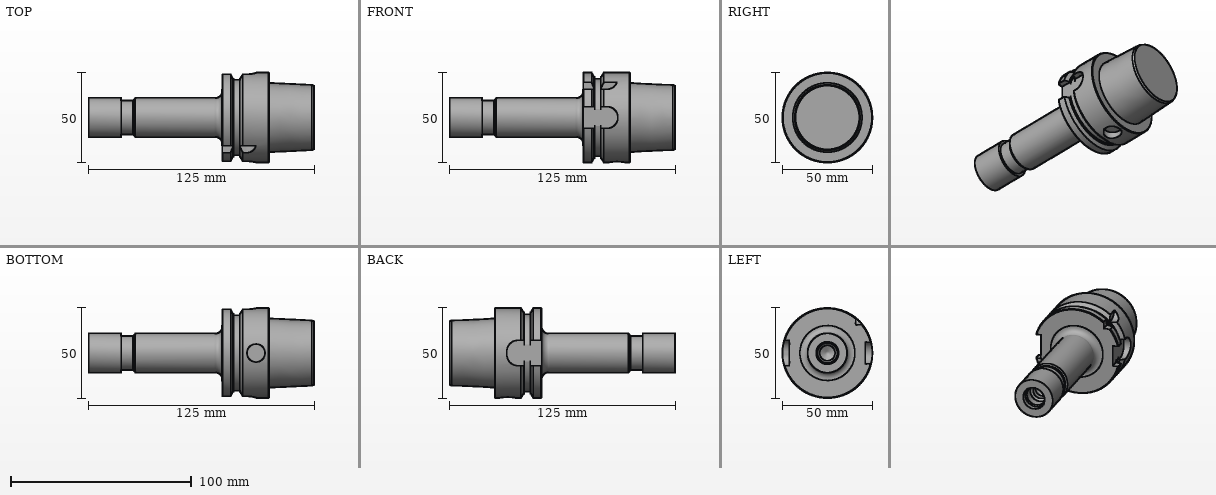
import cadquery as cq
import math

TOTAL_LENGTH = 125.0
CUT_MARGIN = 1.2

NOSE_RADIUS = 11.0
NOSE_LENGTH = 18.0
RELIEF_RADIUS = 9.5
RELIEF_END = 24.6
RELIEF_LIP_RADIUS = 9.9
RELIEF_LIP_LENGTH = 0.6
SHOULDER_RADIUS = 10.9
SHOULDER_X = 26.0
SHANK_START = 26.5
SHANK_END = 69.8
NECK_RADIUS = 10.9
NECK_END = 70.9

FLANGE_RADIUS = 25.0
FLANGE_START = 74.0
FLANGE_END = 100.0
FLANGE_EDGE = 0.4
ROOT_FILLET = 3.5
FACE_RING_RADIUS = 15.2
FACE_RING_HEIGHT = 0.1
GROOVE_RADIUS = 21.5
GROOVE_START = 80.4
GROOVE_END = 83.6
GROOVE_MOUTH_START = 78.6
GROOVE_MOUTH_END = 85.5
GROOVE_LIP_RADIUS = 22.5
GROOVE_LIP_START = 80.0
GROOVE_LIP_END = 83.9

TAPER_START_RADIUS = 19.2
TAPER_END_RADIUS = 18.1
TAPER_CHAMFER_LENGTH = 1.2
TAPER_CHAMFER_HEIGHT = 0.5

BORE_RADIUS = 6.2
BORE_DEPTH = 3.5
BORE_STEP_RADIUS = 5.5
BORE_STEP_DEPTH = 10.0
PILOT_RADIUS = 4.2
PILOT_DEPTH = 15.0
POINT_ANGLE = 118.0

SLOT_FLOOR = 21.0
SLOT_END = 93.2
SLOT_END_RADIUS = 6.0
FRONT_SLOT_WIDTH = 2 * SLOT_END_RADIUS
BACK_SLOT_WIDTH = 14.0
NOTCH_WALL = 15.6
NOTCH_FLOOR = 15.6
NOTCH_END_RADIUS = 6.0
NOTCH_TANGENT_X = 87.1
HOLE_RADIUS = 5.0
HOLE_X = 92.8
HOLE_DEPTH = 4.5


def turn(profile):
    return profile.close().revolve(360, (0, 0, 0), (1, 0, 0))


def make_body():
    face_x = FLANGE_START - FACE_RING_HEIGHT
    arc_centre_x = face_x - ROOT_FILLET
    arc_centre_r = NECK_RADIUS + ROOT_FILLET

    def root_arc_point(angle):
        return (
            arc_centre_x + ROOT_FILLET * math.sin(angle),
            arc_centre_r - ROOT_FILLET * math.cos(angle),
        )

    start_angle = math.asin((NECK_END - arc_centre_x) / ROOT_FILLET)
    end_angle = math.pi / 2
    mid_angle = (start_angle + end_angle) / 2
    profile = (
        cq.Workplane("XY")
        .lineTo(0, NOSE_RADIUS)
        .lineTo(NOSE_LENGTH, NOSE_RADIUS)
        .lineTo(NOSE_LENGTH, RELIEF_RADIUS)
        .lineTo(RELIEF_END, RELIEF_RADIUS)
        .lineTo(RELIEF_END + RELIEF_LIP_LENGTH, RELIEF_LIP_RADIUS)
        .lineTo(SHOULDER_X, SHOULDER_RADIUS)
        .lineTo(SHANK_START, NOSE_RADIUS)
        .lineTo(SHANK_END, NOSE_RADIUS)
        .lineTo(*root_arc_point(start_angle))
        .threePointArc(root_arc_point(mid_angle), root_arc_point(end_angle))
        .lineTo(face_x, FACE_RING_RADIUS)
        .lineTo(FLANGE_START, FACE_RING_RADIUS)
        .lineTo(FLANGE_START, FLANGE_RADIUS - FLANGE_EDGE)
        .lineTo(FLANGE_START + FLANGE_EDGE, FLANGE_RADIUS)
        .lineTo(GROOVE_MOUTH_START, FLANGE_RADIUS)
        .lineTo(GROOVE_LIP_START, GROOVE_LIP_RADIUS)
        .lineTo(GROOVE_START, GROOVE_LIP_RADIUS)
        .lineTo(GROOVE_START, GROOVE_RADIUS)
        .lineTo(GROOVE_END, GROOVE_RADIUS)
        .lineTo(GROOVE_END, GROOVE_LIP_RADIUS)
        .lineTo(GROOVE_LIP_END, GROOVE_LIP_RADIUS)
        .lineTo(GROOVE_MOUTH_END, FLANGE_RADIUS)
        .lineTo(FLANGE_END - FLANGE_EDGE, FLANGE_RADIUS)
        .lineTo(FLANGE_END, FLANGE_RADIUS - FLANGE_EDGE)
        .lineTo(FLANGE_END, TAPER_START_RADIUS)
        .lineTo(TOTAL_LENGTH - TAPER_CHAMFER_LENGTH, TAPER_END_RADIUS)
        .lineTo(TOTAL_LENGTH, TAPER_END_RADIUS - TAPER_CHAMFER_HEIGHT)
        .lineTo(TOTAL_LENGTH, 0)
    )
    return turn(profile)


def make_bore():
    step_start = BORE_DEPTH + BORE_RADIUS - BORE_STEP_RADIUS
    point_length = PILOT_RADIUS / math.tan(math.radians(POINT_ANGLE / 2))
    step_end = BORE_STEP_DEPTH + BORE_STEP_RADIUS - PILOT_RADIUS
    profile = (
        cq.Workplane("XY")
        .lineTo(0, BORE_RADIUS)
        .lineTo(BORE_DEPTH, BORE_RADIUS)
        .lineTo(step_start, BORE_STEP_RADIUS)
        .lineTo(BORE_STEP_DEPTH, BORE_STEP_RADIUS)
        .lineTo(step_end, PILOT_RADIUS)
        .lineTo(PILOT_DEPTH, PILOT_RADIUS)
        .lineTo(PILOT_DEPTH + point_length, 0)
    )
    return turn(profile)


def make_slot(width, side):
    """Slot open at the flange face, on the -Y (side = -1) or +Y (side = 1) flank."""
    start = FLANGE_START - CUT_MARGIN
    depth = FLANGE_RADIUS + CUT_MARGIN - SLOT_FLOOR
    straight_end = SLOT_END - SLOT_END_RADIUS
    half_flat = width / 2 - SLOT_END_RADIUS
    diagonal = SLOT_END_RADIUS * math.sin(math.pi / 4)
    outline = (
        cq.Workplane("XZ", origin=(0, side * SLOT_FLOOR, 0))
        .moveTo(start, -width / 2)
        .lineTo(straight_end, -width / 2)
        .threePointArc((straight_end + diagonal, -half_flat - diagonal), (SLOT_END, -half_flat))
    )
    if half_flat > 0:
        outline = outline.lineTo(SLOT_END, half_flat)
    outline = (
        outline
        .threePointArc((straight_end + diagonal, half_flat + diagonal), (straight_end, width / 2))
        .lineTo(start, width / 2)
        .close()
    )
    return outline.extrude(-side * depth)


def make_notch():
    """Corner notch on the -Y, +Z side whose floor curves up to the flange surface."""
    start = FLANGE_START - CUT_MARGIN
    end = NOTCH_TANGENT_X + NOTCH_END_RADIUS
    arc_centre_z = NOTCH_FLOOR + NOTCH_END_RADIUS
    diagonal = NOTCH_END_RADIUS * math.sin(math.pi / 4)
    return (
        cq.Workplane("XZ", origin=(0, -NOTCH_WALL, 0))
        .moveTo(start, NOTCH_FLOOR)
        .lineTo(NOTCH_TANGENT_X, NOTCH_FLOOR)
        .threePointArc((NOTCH_TANGENT_X + diagonal, arc_centre_z - diagonal), (end, arc_centre_z))
        .lineTo(end, FLANGE_RADIUS)
        .lineTo(start, FLANGE_RADIUS)
        .close()
        .extrude(FLANGE_RADIUS - NOTCH_WALL)
    )


def make_blind_hole():
    return (
        cq.Workplane("XY", origin=(HOLE_X, 0, -FLANGE_RADIUS - CUT_MARGIN))
        .circle(HOLE_RADIUS)
        .extrude(HOLE_DEPTH + CUT_MARGIN)
    )


result = (
    make_body()
    .cut(make_bore())
    .cut(make_slot(FRONT_SLOT_WIDTH, -1))
    .cut(make_slot(BACK_SLOT_WIDTH, 1))
    .cut(make_notch())
    .cut(make_blind_hole())
)